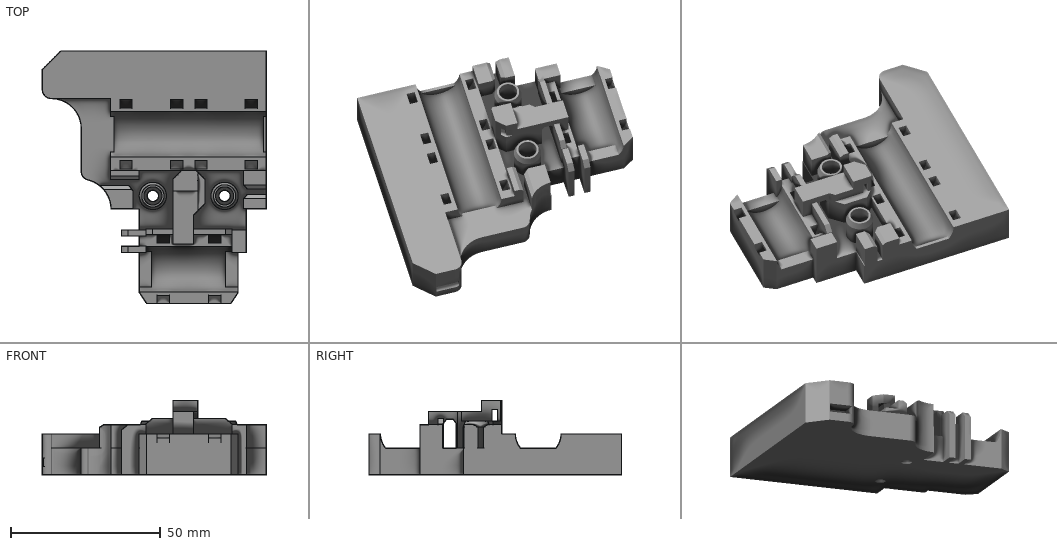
import cadquery as cq
import math

length_x = 75.1
length_y = 84.6

floor_z = 9.0
seat_z = 13.8
block_z = 16.85
boss_z = 18.0
wall_z = 19.0
arm_z = 21.3
head_z = 25.0

corner_cut = 6.3
head_front_y = 68.65
waist_x = 13.0
hollow_radius = 10.0
round_radius = 3.05
shoulder_x = 22.9
shoulder_y = 31.65
neck_left_x = 32.5
neck_right_x = 68.4
nose_right_x = 65.7
post_front_y = 17.1
nose_cut_x = 2.45
nose_cut_y = 3.7

bearing_radius = 7.6
rear_axis_y = 56.7
front_axis_y = 11.5
rear_deep_x = (24.0, 74.1)
front_deep_x = (36.6, 61.45)
ledge_rear_y = 44.5

strap_inner_radius = 8.8
strap_outer_radius = 11.6
strap_width = 4.15
rear_strap_x = (26.0, 43.0, 51.1, 68.0)
front_strap_x = (38.5, 55.7)

lead_y = 1.3
lead_z = 0.85
left_clip_y = 41.5
left_block_x = 30.5
left_block_rear_y = 39.5
left_corner_cut = (1.4, 1.9)
right_block_x = 67.5
right_gap_y = (36.5, 38.4)
right_corner_cut = (1.2, 1.35)
block_front_y = 31.9

boss_centres = [(37.1, 36.05), (61.1, 36.05)]
boss_radius = 4.6
boss_rim_radius = 3.7
boss_bevel_z = 16.0
bore_radius = 3.05
screw_radius = 1.9

wall_x = (34.7, 63.6)
wall_y = (23.1, 25.0)
fin_left_x = 26.5
fin_thickness = 2.1
rim_rear_y = 24.7
fin_front_y = (post_front_y, rim_rear_y - fin_thickness)
edge_cut_x = 2.2
edge_cut_z = 1.9

arm_left_x = 43.8
arm_right_x = 50.7
arm_head_right_x = 52.1
arm_foot_right_x = 54.5
arm_front_y = 19.9
arm_head_front_y = 37.7
foot_widening_y = 29.6
arm_corner_cut = 2.9
arch_width = 4.2
arch_top_z = 18.6
arch_cut_y = 1.0
arch_cut_z = 1.35
window_y = (41.3, 43.0)
window_z = (18.0, 21.9)
window_lead_x = 0.6
window_lead_y = 1.9

nut_slot_y = (70.1, 78.2)
nut_slot_z = (2.9, 5.7)
nut_slot_depth = 6.8


def box(x_range, y_range, z_range):
    """Box given by its low and high limits along each axis."""
    corner = (x_range[0], y_range[0], z_range[0])
    size = [high - low for low, high in (x_range, y_range, z_range)]
    return cq.Workplane("XY").box(*size, centered=False).translate(corner)


def prism_z(points, z_range):
    """Polygon in X and Y, raised over a height range."""
    low, high = z_range
    return cq.Workplane("XY").workplane(offset=low).polyline(points).close().extrude(high - low)


def prism_x(points, x_range):
    """Polygon in Y and Z, extended along X."""
    low, high = x_range
    return cq.Workplane("YZ").workplane(offset=low).polyline(points).close().extrude(high - low)


def prism_y(points, y_range):
    """Polygon in X and Z, extended along Y."""
    low, high = y_range
    return cq.Workplane("XZ", origin=(0, low, 0)).polyline(points).close().extrude(low - high)


def cylinder_x(radius, axis_y, x_range):
    """Cylinder along X at the bearing axis height."""
    low, high = x_range
    return cq.Workplane("YZ").workplane(offset=low).center(axis_y, seat_z).circle(radius).extrude(high - low)


def plate(height):
    """Full plan outline, including the two hollow arcs on the left side."""
    centre_rise = math.sqrt((hollow_radius + round_radius) ** 2 - round_radius ** 2)
    round_y = shoulder_y + centre_rise
    blend_angle = math.atan2(centre_rise, round_radius)

    def on_hollow(angle):
        return (waist_x + hollow_radius * math.cos(angle), shoulder_y + hollow_radius * math.sin(angle))

    half = math.sqrt(0.5)
    bend = math.pi + blend_angle / 2
    round_middle = (waist_x + round_radius * (1 + math.cos(bend)), round_y + round_radius * math.sin(bend))
    upper_middle = (
        waist_x - hollow_radius * (1 - half),
        head_front_y - hollow_radius * (1 - half),
    )
    return (
        cq.Workplane("XY")
        .moveTo(corner_cut, length_y)
        .lineTo(0, length_y - corner_cut)
        .lineTo(0, head_front_y + round_radius)
        .threePointArc(
            (round_radius * (1 - half), head_front_y + round_radius * (1 - half)),
            (round_radius, head_front_y),
        )
        .threePointArc(upper_middle, (waist_x, head_front_y - hollow_radius))
        .lineTo(waist_x, round_y)
        .threePointArc(round_middle, on_hollow(blend_angle))
        .threePointArc(on_hollow(blend_angle / 2), on_hollow(0))
        .lineTo(neck_left_x, shoulder_y)
        .lineTo(neck_left_x, nose_cut_y)
        .lineTo(neck_left_x + nose_cut_x, 0)
        .lineTo(nose_right_x - nose_cut_x, 0)
        .lineTo(nose_right_x, nose_cut_y)
        .lineTo(nose_right_x, post_front_y)
        .lineTo(neck_right_x, post_front_y)
        .lineTo(neck_right_x, shoulder_y)
        .lineTo(length_x, shoulder_y)
        .lineTo(length_x, length_y)
        .close()
        .extrude(height)
    )


def base():
    """Deck with the raised rear bar, bearing rims and nose."""
    raised = box((0, length_x), (head_front_y, length_y), (0, seat_z))
    raised = raised.union(box((shoulder_x, length_x), (ledge_rear_y, length_y), (0, seat_z)))
    raised = raised.union(box((neck_left_x, nose_right_x), (0, front_axis_y), (0, seat_z)))
    raised = raised.union(box((neck_left_x, wall_x[1]), (front_axis_y, rim_rear_y), (0, seat_z)))
    return plate(floor_z).union(plate(seat_z).intersect(raised))


def bearing_channel(axis_y, deep_x):
    """Round trough that is full depth over deep_x and stops at the deck beyond it."""
    full_x = (0, length_x)
    across = (axis_y - bearing_radius, axis_y + bearing_radius)
    above_deck = box(full_x, across, (floor_z, head_z))
    shallow = cylinder_x(bearing_radius, axis_y, full_x).intersect(above_deck)
    return shallow.union(cylinder_x(bearing_radius, axis_y, deep_x))


def strap_slot(axis_y, start_x):
    """Half ring passing under the bearing, open at both rims."""
    x_range = (start_x, start_x + strap_width)
    ring = cylinder_x(strap_outer_radius, axis_y, x_range)
    ring = ring.cut(cylinder_x(strap_inner_radius, axis_y, x_range))
    across = (axis_y - strap_outer_radius, axis_y + strap_outer_radius)
    return ring.intersect(box(x_range, across, (0, seat_z)))


def belt_lead(gap_edge_y, toward, x_range):
    """Wedge that slopes a block's top edge down to the gap; toward is +1 or -1 into the block."""
    points = [
        (gap_edge_y, block_z - lead_z),
        (gap_edge_y + toward * lead_y, block_z),
        (gap_edge_y, block_z),
    ]
    return prism_x(points, x_range)


def belt_blocks():
    """Two pairs of blocks, each pair separated by a gap for the belt."""
    left_clip = box((shoulder_x, neck_left_x), (left_clip_y, ledge_rear_y), (0, block_z))
    left_clip = left_clip.cut(belt_lead(left_clip_y, 1, (shoulder_x, neck_left_x)))

    cut_x, cut_y = left_corner_cut
    left_points = [
        (0, block_front_y),
        (left_block_x, block_front_y),
        (left_block_x, left_block_rear_y - cut_y),
        (left_block_x - cut_x, left_block_rear_y),
        (0, left_block_rear_y),
    ]
    left_block = prism_z(left_points, (0, block_z)).intersect(plate(block_z))
    left_block = left_block.cut(belt_lead(left_block_rear_y, -1, (0, left_block_x)))

    cut_x, cut_y = right_corner_cut
    gap_front, gap_rear = right_gap_y
    right_blocks = cq.Workplane("XY")
    for gap_y, far_y, toward in ((gap_front, block_front_y, -1), (gap_rear, ledge_rear_y, 1)):
        points = [
            (length_x, far_y),
            (right_block_x, far_y),
            (right_block_x, gap_y + toward * cut_y),
            (right_block_x + cut_x, gap_y),
            (length_x, gap_y),
        ]
        block = prism_z(points, (0, block_z)).cut(belt_lead(gap_y, toward, (right_block_x, length_x)))
        right_blocks = right_blocks.add(block)
    return left_clip.union(left_block).union(right_blocks)


def cross_wall():
    left, right = wall_x
    points = [
        (left, 0),
        (right, 0),
        (right, wall_z - edge_cut_z),
        (right - edge_cut_x, wall_z),
        (left + edge_cut_x, wall_z),
        (left, wall_z - edge_cut_z),
    ]
    return prism_y(points, wall_y)


def fin(front_y):
    points = [
        (fin_left_x, 0),
        (wall_x[0], 0),
        (wall_x[0], block_z),
        (fin_left_x + edge_cut_x, block_z),
        (fin_left_x, block_z - edge_cut_z),
    ]
    return prism_y(points, (front_y, front_y + fin_thickness))


def side_post():
    return box((wall_x[1], neck_right_x), (post_front_y, rim_rear_y), (0, block_z))


def arm():
    """Stepped arm from the rear rim to the front bearing, with an arch and a window through it."""
    widening = arm_foot_right_x - arm_right_x
    plan = [
        (arm_left_x, arm_front_y),
        (arm_right_x, arm_front_y),
        (arm_right_x, foot_widening_y),
        (arm_foot_right_x, foot_widening_y + widening),
        (arm_foot_right_x, ledge_rear_y - arm_corner_cut),
        (arm_foot_right_x - arm_corner_cut, ledge_rear_y),
        (arm_left_x + arm_corner_cut, ledge_rear_y),
        (arm_left_x, ledge_rear_y - arm_corner_cut),
    ]
    upper_x = (arm_left_x, arm_head_right_x)
    keep = box((arm_left_x, arm_foot_right_x), (wall_y[0], ledge_rear_y), (0, boss_z))
    keep = keep.union(box(upper_x, (arm_front_y, ledge_rear_y), (seat_z, arm_z)))
    keep = keep.union(box(upper_x, (arm_head_front_y, ledge_rear_y), (seat_z, head_z)))
    body = prism_z(plan, (0, head_z)).intersect(keep)

    arch_front = wall_y[1]
    arch_rear = arch_front + arch_width
    arch_outline = [
        (arch_front, floor_z),
        (arch_rear, floor_z),
        (arch_rear, arch_top_z - arch_cut_z),
        (arch_rear - arch_cut_y, arch_top_z),
        (arch_front + arch_cut_y, arch_top_z),
        (arch_front, arch_top_z - arch_cut_z),
    ]
    arch = prism_x(arch_outline, (arm_left_x, arm_foot_right_x))

    near_y, far_y = window_y
    window_plan = [
        (arm_left_x, near_y - window_lead_y),
        (arm_left_x + window_lead_x, near_y),
        (arm_head_right_x, near_y),
        (arm_head_right_x, far_y),
        (arm_left_x, far_y),
    ]
    return body.cut(arch).cut(prism_z(window_plan, window_z))


def boss_solid():
    profile = [
        (0, 0),
        (boss_radius, 0),
        (boss_radius, boss_bevel_z),
        (boss_rim_radius, boss_z),
        (0, boss_z),
    ]
    return cq.Workplane("XZ").polyline(profile).close().revolve(360, (0, 0), (0, 1))


def boss_bore():
    """Clearance hole through the plate with a wider bore down to the deck."""
    screw = cq.Workplane("XY").circle(screw_radius).extrude(boss_z)
    bore = cq.Workplane("XY").workplane(offset=floor_z).circle(bore_radius).extrude(boss_z - floor_z)
    return screw.union(bore)


result = base()
result = result.cut(bearing_channel(rear_axis_y, rear_deep_x))
result = result.cut(bearing_channel(front_axis_y, front_deep_x))
for slot_x in rear_strap_x:
    result = result.cut(strap_slot(rear_axis_y, slot_x))
for slot_x in front_strap_x:
    result = result.cut(strap_slot(front_axis_y, slot_x))

result = result.union(belt_blocks())
result = result.union(cross_wall()).union(side_post())
for fin_y in fin_front_y:
    result = result.union(fin(fin_y))
result = result.union(arm())
for boss_x, boss_y in boss_centres:
    result = result.union(boss_solid().translate((boss_x, boss_y, 0)))
    result = result.cut(boss_bore().translate((boss_x, boss_y, 0)))

result = result.cut(box((0, nut_slot_depth), nut_slot_y, nut_slot_z))